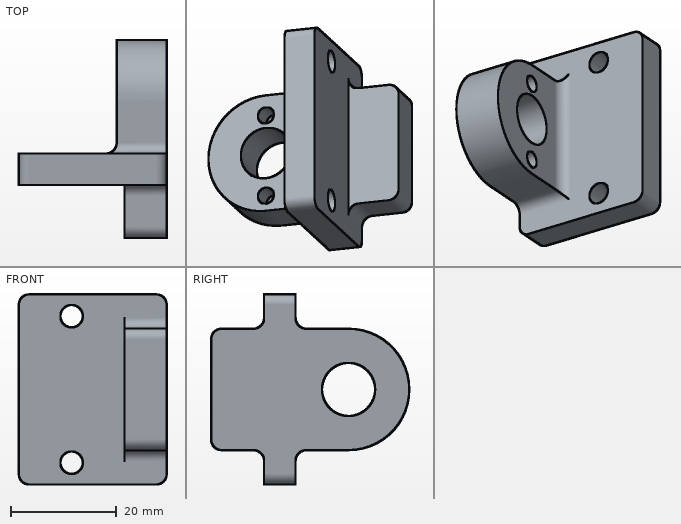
import cadquery as cq

PLATE_WIDTH = 28.0
PLATE_HEIGHT = 36.0
PLATE_THICKNESS = 6.0
PLATE_CORNER_RADIUS = 2.0
MOUNT_HOLE_DIAMETER = 4.2
MOUNT_HOLE_X = 10.0
MOUNT_HOLE_SPACING = 27.7

PROJECTION_HEIGHT = 23.0
ROOT_FILLET = 2.0

BLOCK_WIDTH = 8.0
BLOCK_LENGTH = 10.0
BLOCK_CORNER_RADIUS = 2.0

LUG_WIDTH = 9.5
LUG_RADIUS = PROJECTION_HEIGHT / 2
BORE_DISTANCE = 10.0
BORE_DIAMETER = 10.0
PIN_HOLE_DIAMETER = 3.2
PIN_HOLE_DEPTH = 5.0
PIN_HOLE_OFFSETS = (7.5, -8.5)

LUG_FACE_X = PLATE_WIDTH - LUG_WIDTH
BORE_Y = PLATE_THICKNESS + BORE_DISTANCE


def x_cylinder(diameter, length, y, z):
    """Cylinder along +X starting at the lug's -X face."""
    profile = cq.Workplane("YZ", origin=(LUG_FACE_X, y, z)).circle(diameter / 2)
    return profile.extrude(length)


def make_plate():
    plate = cq.Workplane("XY").box(
        PLATE_WIDTH, PLATE_THICKNESS, PLATE_HEIGHT, centered=(False, False, True)
    )
    return plate.edges("|Y").fillet(PLATE_CORNER_RADIUS)


def make_block():
    """Front block with its two outer edges rounded."""
    block = (
        cq.Workplane("XY", origin=(PLATE_WIDTH - BLOCK_WIDTH, -BLOCK_LENGTH, 0))
        .box(BLOCK_WIDTH, BLOCK_LENGTH, PROJECTION_HEIGHT, centered=(False, False, True))
    )
    return block.faces("<Y").edges("|X").fillet(BLOCK_CORNER_RADIUS)


def make_lug():
    """Rear lug, straight from the plate and then a half circle about the bore."""
    return (
        cq.Workplane("YZ", origin=(LUG_FACE_X, 0, 0))
        .moveTo(PLATE_THICKNESS, -LUG_RADIUS)
        .lineTo(BORE_Y, -LUG_RADIUS)
        .threePointArc((BORE_Y + LUG_RADIUS, 0), (BORE_Y, LUG_RADIUS))
        .lineTo(PLATE_THICKNESS, LUG_RADIUS)
        .close()
        .extrude(LUG_WIDTH)
    )


def fillet_roots(body):
    """Blend the block's top and bottom, and the lug's top, bottom and -X side, into the plate."""
    block_middle_x = PLATE_WIDTH - BLOCK_WIDTH / 2
    lug_middle_x = PLATE_WIDTH - LUG_WIDTH / 2
    root_points = [(LUG_FACE_X, PLATE_THICKNESS, 0)]
    for z in (-PROJECTION_HEIGHT / 2, PROJECTION_HEIGHT / 2):
        root_points.append((block_middle_x, 0, z))
        root_points.append((lug_middle_x, PLATE_THICKNESS, z))
    roots = body.newObject([])
    for point in root_points:
        roots = roots.add(body.edges(cq.selectors.NearestToPointSelector(point)))
    return roots.fillet(ROOT_FILLET)


def cut_mount_holes(body):
    for z in (-MOUNT_HOLE_SPACING / 2, MOUNT_HOLE_SPACING / 2):
        profile = cq.Workplane("XZ", origin=(MOUNT_HOLE_X, 0, z)).circle(MOUNT_HOLE_DIAMETER / 2)
        body = body.cut(profile.extrude(-PLATE_THICKNESS))
    return body


def cut_lug_holes(body):
    """Through bore flanked by two blind pin holes in the lug's -X face."""
    body = body.cut(x_cylinder(BORE_DIAMETER, LUG_WIDTH, BORE_Y, 0))
    for offset in PIN_HOLE_OFFSETS:
        body = body.cut(x_cylinder(PIN_HOLE_DIAMETER, PIN_HOLE_DEPTH, BORE_Y, offset))
    return body


body = make_plate().union(make_block()).union(make_lug())
body = fillet_roots(body)
body = cut_mount_holes(body)
result = cut_lug_holes(body)